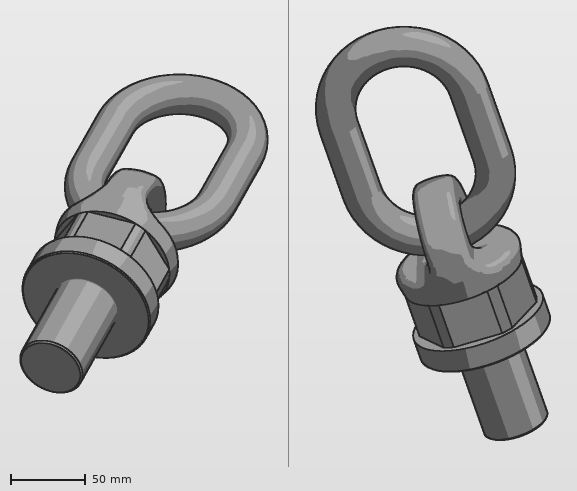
import cadquery as cq
import math

stud_diameter = 45.0
stud_length = 67.3
stud_end_chamfer = 1.2
seat_fillet_diameter = 1.8
flange_diameter = 92.0
flange_thickness = 16.8
flange_edge_chamfer = 1.0
hex_across_flats = 76.0
hex_corner_diameter = 83.2
hex_length = 32.7
hex_turn = 30
hex_top = flange_thickness + hex_length

ball_radius = 46.0
ball_center = 74.5
eye_base_radius = hex_corner_diameter / 2
shoulder_height = 65.8
lug_width = 29.5
lug_root_radius = 13.8
edge_fillet = 6.0
hole_diameter = 31.0
hole_center = 82.0
hole_fillet = 6.0

overall_length = 306.0
ring_width = 119.0
wire_diameter = 27.0
ring_straight = 50.8
bend_radius = (ring_width - wire_diameter) / 2
ring_top = overall_length - stud_length
upper_bend_center = ring_top - ring_width / 2
lower_bend_center = upper_bend_center - ring_straight

selection_margin = 0.3


def cylinder_y(diameter, start, length):
    """Cylinder along +Y that starts at Y = start."""
    plane = cq.Workplane("XZ", origin=(0, start, 0))
    return plane.circle(diameter / 2).extrude(-length)


def make_stud_body():
    """Stud, flange and hexagon in one piece, with a small fillet where the stud meets the seat face."""
    stud = cylinder_y(stud_diameter, -stud_length, stud_length)
    stud = stud.faces("<Y").chamfer(stud_end_chamfer)
    flange = cylinder_y(flange_diameter, 0, flange_thickness)
    flange = flange.faces("<Y").chamfer(flange_edge_chamfer)
    hexagon = (
        cq.Workplane("XZ", origin=(0, flange_thickness, 0))
        .transformed(rotate=(0, 0, hex_turn))
        .polygon(6, hex_across_flats, circumscribed=True)
        .extrude(-hex_length)
        .intersect(cylinder_y(hex_corner_diameter, flange_thickness, hex_length))
    )
    body = flange.union(stud).union(hexagon)
    seat_corner = cq.selectors.BoxSelector(
        (-stud_diameter, -selection_margin, -stud_diameter),
        (stud_diameter, selection_margin, stud_diameter),
        boundingbox=True,
    )
    seat_edge = body.edges("%CIRCLE").edges(seat_corner).edges(cq.selectors.RadiusNthSelector(0))
    return seat_edge.fillet(seat_fillet_diameter / 2)


def make_eye_blank():
    """Cone that widens from the base until it runs tangent into the ball."""
    base_drop = ball_center - hex_top
    base_distance = math.hypot(base_drop, eye_base_radius)
    tangent_angle = math.acos(ball_radius / base_distance) - math.atan2(base_drop, eye_base_radius)
    tangent_x = ball_radius * math.cos(tangent_angle)
    tangent_y = ball_center + ball_radius * math.sin(tangent_angle)
    arc_offset = ball_radius * math.sqrt(0.5)
    return (
        cq.Workplane("XY")
        .moveTo(0, hex_top)
        .lineTo(eye_base_radius, hex_top)
        .lineTo(tangent_x, tangent_y)
        .threePointArc((arc_offset, ball_center + arc_offset), (0, ball_center + ball_radius))
        .close()
        .revolve(360, (0, 0, 0), (0, 1, 0))
    )


def make_side_cut(side):
    """Material beside the lug above the shoulder, with a rounded lug root; side is -1 or 1 along X."""
    wall = lug_width / 2
    reach = 2 * ball_radius
    top = ball_center + reach
    return (
        cq.Workplane("XY")
        .moveTo(side * wall, top)
        .lineTo(side * wall, shoulder_height + lug_root_radius)
        .radiusArc((side * (wall + lug_root_radius), shoulder_height), -side * lug_root_radius)
        .lineTo(side * reach, shoulder_height)
        .lineTo(side * reach, top)
        .close()
        .extrude(reach, both=True)
    )


def round_outer_edges(eye):
    """Round each side's continuous edge: around the lug, down its root and along the shoulder rim."""
    reach = 2 * ball_radius
    above_cone = cq.selectors.BoxSelector(
        (-reach, shoulder_height - edge_fillet / 2, -reach),
        (reach, ball_center + reach, reach),
        boundingbox=True,
    )
    return eye.edges(above_cone).edges("not |Z").fillet(edge_fillet)


def add_ring_hole(eye):
    """Hole along X through the lug, with both mouths rounded."""
    hole = (
        cq.Workplane("YZ")
        .center(hole_center, 0)
        .circle(hole_diameter / 2)
        .extrude(2 * ball_radius, both=True)
    )
    half_size = hole_diameter / 2 + selection_margin
    around_hole = cq.selectors.BoxSelector(
        (-ball_radius, hole_center - half_size, -half_size),
        (ball_radius, hole_center + half_size, half_size),
        boundingbox=True,
    )
    return eye.cut(hole).edges(around_hole).fillet(hole_fillet)


def make_eye():
    """Shouldered eye that sits on the hexagon and carries the ring."""
    eye = make_eye_blank()
    for side in (-1, 1):
        eye = eye.cut(make_side_cut(side))
    return add_ring_hole(round_outer_edges(eye))


def make_ring():
    """Round wire swept along an oval of two straights and two half circles."""
    path = (
        cq.Workplane("XY")
        .moveTo(bend_radius, lower_bend_center)
        .lineTo(bend_radius, upper_bend_center)
        .threePointArc((0, upper_bend_center + bend_radius), (-bend_radius, upper_bend_center))
        .lineTo(-bend_radius, lower_bend_center)
        .threePointArc((0, lower_bend_center - bend_radius), (bend_radius, lower_bend_center))
        .close()
    )
    wire_start = cq.Workplane("XZ", origin=(bend_radius, lower_bend_center, 0))
    return wire_start.circle(wire_diameter / 2).sweep(path)


stud_body = make_stud_body()
eye = make_eye()
ring = make_ring()

result = cq.Compound.makeCompound([stud_body.solids().val(), eye.solids().val(), ring.val()])